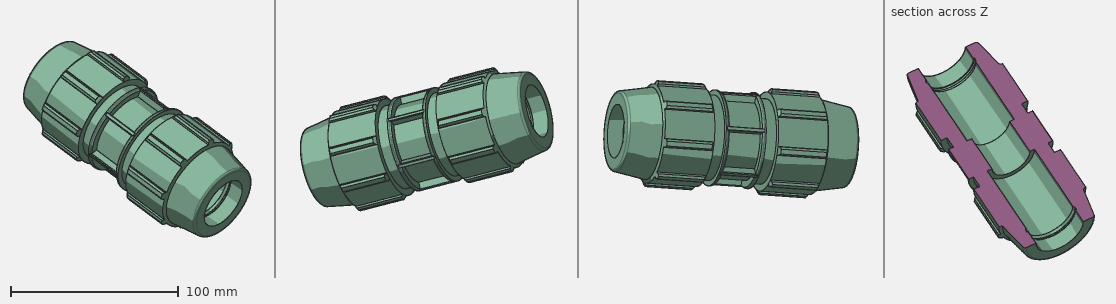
import cadquery as cq
import math


length = 145.0
half_length = length / 2
bore_radius = 25.7 / 2
socket_radius = 32.0 / 2
groove_depth = 0.7
groove_start = 9.9
groove_floor_width = 1.3
groove_taper = 1.7

sleeve_radius = 51.2 / 2
band_radius = 57.5 / 2
band_width = 25.1
band_floor_radius = 23.9
wall_thickness = 2.2
window_count = 6
bar_width = 2.5
bar_top_width = 1.9
rim_land = 0.9
rim_bevel_width = 0.5
rim_bevel_depth = 0.1
rim_depth = 0.7

tip_radius = 24.0
tip_fillet = 1.6
shoulder_place = 20.5
shoulder_radius = 27.7
nut_end = 52.5
nut_radius = 29.7
rib_radius = 31.97
rib_count = 8
rib_top_width = 2.9
rib_width = 5.2
rib_hip_drop = 1.2
rib_front_place = 22.5
rib_back_bevel = 1.6

band_half_width = band_width / 2
window_half_width = band_half_width - wall_thickness
socket_depth = half_length - band_half_width


def revolve_about_x(points):
    """Solid of revolution from (x, radius) points."""
    return cq.Workplane("XY").polyline(points).close().revolve(360, (0, 0, 0), (1, 0, 0))


def extrude_along_x(points, start, end):
    """Prism with a (y, z) outline, from x = start to x = end."""
    return cq.Workplane("YZ", origin=(start, 0, 0)).polyline(points).close().extrude(end - start)


def spread_about_x(shape, count, first_angle):
    """Union of equally spaced copies of a shape turned about the X axis."""
    copies = shape.rotate((0, 0, 0), (1, 0, 0), first_angle)
    for index in range(1, count):
        angle = first_angle + index * 360 / count
        copies = copies.union(shape.rotate((0, 0, 0), (1, 0, 0), angle))
    return copies


def make_grip_band():
    """Two side walls joined by bars, leaving a ring of shallow windows."""
    chamfer_foot = band_radius - rim_depth
    land_edge = -band_half_width + rim_land
    wall = revolve_about_x([
        (-band_half_width, 0),
        (-band_half_width, band_radius),
        (land_edge, band_radius),
        (land_edge + rim_bevel_width, band_radius - rim_bevel_depth),
        (-window_half_width, chamfer_foot),
        (-window_half_width, 0),
    ])
    half_bar = bar_width / 2
    half_bar_top = bar_top_width / 2
    bar = extrude_along_x([
        (-half_bar, 0),
        (-half_bar, chamfer_foot),
        (-half_bar_top, band_radius),
        (half_bar_top, band_radius),
        (half_bar, chamfer_foot),
        (half_bar, 0),
    ], land_edge, -land_edge)
    bars = spread_about_x(bar, window_count, 90)
    return wall.union(wall.mirror("YZ")).union(bars)


def make_left_nut():
    """Ribbed nut with a conical tip at the -X end."""
    end_x = -half_length
    shoulder_x = end_x + shoulder_place
    back_x = end_x + nut_end
    tip = revolve_about_x([
        (end_x, 0),
        (end_x, tip_radius),
        (shoulder_x, shoulder_radius),
        (back_x, shoulder_radius),
        (back_x, 0),
    ]).faces("<X").edges().fillet(tip_fillet)

    half_top = rib_top_width / 2
    half_rib = rib_width / 2
    hip = rib_radius - rib_hip_drop
    rib = extrude_along_x([
        (-half_rib, 0),
        (-half_rib, hip),
        (-half_top, rib_radius),
        (half_top, rib_radius),
        (half_rib, hip),
        (half_rib, 0),
    ], shoulder_x, back_x)
    ribs = spread_about_x(rib, rib_count, 180 / rib_count)
    barrel = cq.Workplane("YZ", origin=(shoulder_x, 0, 0)).circle(nut_radius)
    barrel = barrel.extrude(back_x - shoulder_x)

    outer_radius = math.hypot(rib_radius, half_top)
    envelope = revolve_about_x([
        (shoulder_x, 0),
        (shoulder_x, shoulder_radius),
        (end_x + rib_front_place, outer_radius),
        (back_x - rib_back_bevel, outer_radius),
        (back_x, nut_radius),
        (back_x, 0),
    ])
    return tip.union(barrel.union(ribs).intersect(envelope))


def make_left_bore():
    """Pipe socket with its groove, opening at the -X end."""
    end_x = -half_length
    groove_x = end_x + groove_start
    floor_end_x = groove_x + groove_floor_width
    groove_radius = socket_radius + groove_depth
    return revolve_about_x([
        (end_x, 0),
        (end_x, socket_radius),
        (groove_x, socket_radius),
        (groove_x, groove_radius),
        (floor_end_x, groove_radius),
        (floor_end_x + groove_taper, socket_radius),
        (end_x + socket_depth, socket_radius),
        (end_x + socket_depth, bore_radius),
        (0, bore_radius),
        (0, 0),
    ])


neck_length = half_length - nut_end
body = revolve_about_x([
    (-neck_length, 0),
    (-neck_length, sleeve_radius),
    (-window_half_width, sleeve_radius),
    (-window_half_width, band_floor_radius),
    (window_half_width, band_floor_radius),
    (window_half_width, sleeve_radius),
    (neck_length, sleeve_radius),
    (neck_length, 0),
])
body = body.union(make_grip_band())

left_nut = make_left_nut()
body = body.union(left_nut).union(left_nut.mirror("YZ"))

left_bore = make_left_bore()
result = body.cut(left_bore).cut(left_bore.mirror("YZ"))